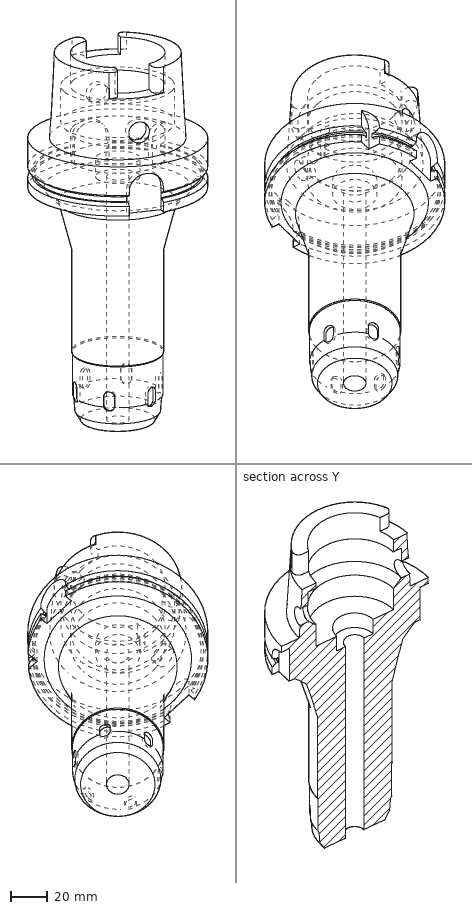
import cadquery as cq
import math

total_height = 215.0
flange_top = 165.0
flange_height = 28.8
flange_bottom = flange_top - flange_height
neck_top = 128.0
neck_bottom = 100.2
body_bottom = 40.0
body_chamfer_bottom = 39.3
nut_bottom = 15.5
nose_top = 13.5
nose_chamfer_top = 5.5

flange_radius = 100.0 / 2
shank_base_radius = 37.8
shank_tip_radius = 35.3
shoulder_radius = 40.8
neck_radius = 33.0
body_radius = 25.5
nut_radius = 25.2
nose_radius = 24.5
nose_chamfer_radius = 23.9
nose_tip_radius = 20.6

groove_radius = 46.2
groove_chamfer_radius = 47.5
groove_centre = 145.0
groove_floor_width = 3.2
groove_mouth_width = 6.5

mouth_radius = 26.2
mouth_depth = 19.4
undercut_radius = 31.5
undercut_bottom = 174.2
undercut_cone_bottom = 168.8
cavity_floor = 153.0
tube_radius = 12.3
tube_depth = 10.8
coolant_radius = 6.2

keyway_width = 20.0
keyway_corner_radius = 3.7
keyway_mouth_width = 31.8
left_keyway_depth = 10.0
right_keyway_depth = 15.0

access_radius = 6.0
access_height = 180.0

notch_width = 20.0
notch_top = 160.2
notch_floor = 44.5
side_notch_inner_y = 31.4
side_notch_end_x = -31.8

slot_count = 6
slot_width = 6.2
slot_bottom = 13.1
slot_top = 24.5
slot_floor = 23.2


def turn(outline):
    """Solid of revolution about Z from (radius, height) points."""
    half_section = [(-radius, height) for radius, height in outline]
    return cq.Workplane("YZ").polyline(half_section).close().revolve(360, (0, 0), (0, 1))


def make_body():
    """Turned outer shape."""
    outline = [
        (0, 0),
        (nose_tip_radius, 0),
        (nose_chamfer_radius, nose_chamfer_top),
        (nose_radius, nose_top),
        (nut_radius, nut_bottom),
        (nut_radius, body_chamfer_bottom),
        (body_radius, body_bottom),
        (body_radius, neck_bottom),
        (neck_radius, neck_top),
        (shoulder_radius, flange_bottom),
        (flange_radius, flange_bottom),
        (flange_radius, groove_centre - groove_mouth_width / 2),
        (groove_chamfer_radius, groove_centre - groove_floor_width / 2),
        (groove_radius, groove_centre - groove_floor_width / 2),
        (groove_radius, groove_centre + groove_floor_width / 2),
        (groove_chamfer_radius, groove_centre + groove_floor_width / 2),
        (flange_radius, groove_centre + groove_mouth_width / 2),
        (flange_radius, flange_top),
        (shank_base_radius, flange_top),
        (shank_tip_radius, total_height),
        (0, total_height),
    ]
    return turn(outline)


def make_cavity():
    """Undercut clamping bore, tube seat and coolant hole as one turned cutter."""
    undercut_top = total_height - mouth_depth
    tube_bottom = cavity_floor - tube_depth
    outline = [
        (0, 0),
        (coolant_radius, 0),
        (coolant_radius, tube_bottom),
        (tube_radius, tube_bottom),
        (tube_radius, cavity_floor),
        (mouth_radius, cavity_floor),
        (mouth_radius, undercut_cone_bottom),
        (undercut_radius, undercut_bottom),
        (undercut_radius, undercut_top),
        (mouth_radius, undercut_top),
        (mouth_radius, total_height),
        (0, total_height),
    ]
    return turn(outline)


def make_keyway(side, depth):
    """Slot through the rim on one side (-1 or 1), flared by rounded outer wall corners."""
    r = keyway_corner_radius
    half = keyway_width / 2
    centre_y = half + r
    centre_distance = shank_tip_radius - r
    tangent_angle = math.asin(centre_y / centre_distance)
    centre_x = centre_distance * math.cos(tangent_angle)
    round_mid_angle = (tangent_angle - math.pi / 2) / 2
    round_mid_x = centre_x + r * math.cos(round_mid_angle)
    round_mid_y = centre_y + r * math.sin(round_mid_angle)
    mouth_y = keyway_mouth_width / 2
    mouth_angle = math.asin(mouth_y / shank_tip_radius)

    def rim_point(angle):
        return side * shank_tip_radius * math.cos(angle), shank_tip_radius * math.sin(angle)

    half_outline = (
        cq.Workplane("XY")
        .workplane(offset=total_height - depth)
        .lineTo(0, half)
        .lineTo(side * centre_x, half)
        .threePointArc((side * round_mid_x, round_mid_y), rim_point(tangent_angle))
        .threePointArc(rim_point((tangent_angle + mouth_angle) / 2), rim_point(mouth_angle))
        .lineTo(side * shank_base_radius, mouth_y)
        .lineTo(side * shank_base_radius, 0)
        .close()
    )
    half_slot = half_outline.extrude(depth)
    return half_slot.union(half_slot.mirror("XZ"))


def make_access_hole():
    return (
        cq.Workplane("YZ")
        .center(0, access_height)
        .circle(access_radius)
        .extrude(shank_base_radius, both=True)
    )


def make_notch(x_start, x_end, y_centre):
    """Round-topped notch running along X and open at the flange underside."""
    half = notch_width / 2
    return (
        cq.Workplane("YZ")
        .workplane(offset=x_start)
        .moveTo(y_centre - half, flange_bottom)
        .lineTo(y_centre - half, notch_top - half)
        .threePointArc((y_centre, notch_top), (y_centre + half, notch_top - half))
        .lineTo(y_centre + half, flange_bottom)
        .close()
        .extrude(x_end - x_start)
    )


def make_slot(angle):
    """Upright round-ended slot in the nut, at an angle about the axis."""
    return (
        cq.Workplane("YZ")
        .workplane(offset=slot_floor)
        .center(0, (slot_bottom + slot_top) / 2)
        .slot2D(slot_top - slot_bottom, slot_width, 90)
        .extrude(body_radius - slot_floor)
        .rotate((0, 0, 0), (0, 0, 1), angle)
    )


result = make_body().cut(make_cavity())

result = result.cut(make_keyway(-1, left_keyway_depth))
result = result.cut(make_keyway(1, right_keyway_depth))
result = result.cut(make_access_hole())

result = result.cut(make_notch(-flange_radius, -notch_floor, 0))
result = result.cut(make_notch(notch_floor, flange_radius, 0))
side_notch_y = side_notch_inner_y + notch_width / 2
result = result.cut(make_notch(-flange_radius, side_notch_end_x, side_notch_y))

for index in range(slot_count):
    result = result.cut(make_slot(90 + index * 360 / slot_count))